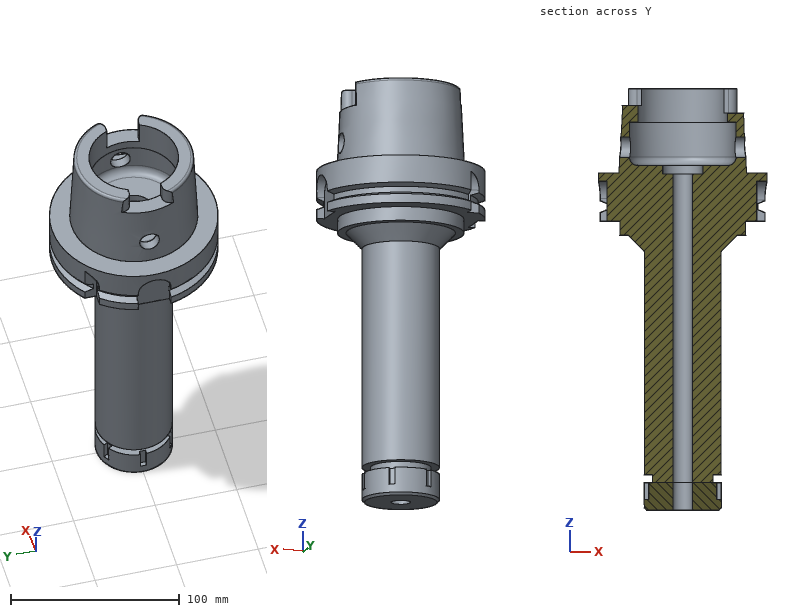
import cadquery as cq
import math

total_height = 250.0
flange_top = 200.0
flange_bottom = 171.2
collar_bottom = 163.0
cone_bottom = 153.5
shank_bottom = 21.0
nut_height = 16.5

flange_radius = 50.0
collar_radius = 37.5
cone_top_radius = 32.5
shank_radius = 23.0
neck_radius = 18.0

taper_length = total_height - flange_top
taper_base_radius = 38.0
taper_on_diameter = 0.1
taper_top_radius = taper_base_radius - taper_length * taper_on_diameter / 2
taper_rim_rounding = 1.8

groove_root_radius = 46.0
groove_middle = 180.0
groove_mouth_half = 3.5
groove_root_half = 1.8

mouth_bore_radius = 26.5
mouth_bore_length = 20.0
inner_bore_radius = 31.5
bore_floor = 204.5
bore_floor_fillet = 5.0
counterbore_radius = 11.8
counterbore_depth = 5.0
coolant_hole_radius = 5.8

cross_hole_radius = 6.0
cross_hole_height = 215.2

rim_slot_width = 20.0
shallow_slot_depth = 10.0
deep_slot_depth = 14.5
rim_slot_rounding = 5.0
rim_slot_mouth = 32.2

narrow_notch_width = 20.0
wide_notch_width = 22.0
notch_top = flange_top - 5.0
narrow_notch_floor = 45.0
wide_notch_floor = 44.0
side_notch_floor = 32.0
side_notch_offset = 41.2

nut_radius = shank_radius
nut_chamfer = 1.5
wrench_slot_count = 6
wrench_slot_width = 3.8
wrench_slot_length = 10.0
wrench_slot_floor = 20.2


def cylinder(radius, bottom, top):
    return cq.Workplane("XY").workplane(offset=bottom).circle(radius).extrude(top - bottom)


def turned_blank():
    """Solid of revolution with the taper, flange, collar, cone, shank and neck."""
    return (
        cq.Workplane("YZ")
        .moveTo(0, nut_height)
        .lineTo(neck_radius, nut_height)
        .lineTo(neck_radius, shank_bottom)
        .lineTo(shank_radius, shank_bottom)
        .lineTo(shank_radius, cone_bottom)
        .lineTo(cone_top_radius, collar_bottom)
        .lineTo(collar_radius, collar_bottom)
        .lineTo(collar_radius, flange_bottom)
        .lineTo(flange_radius, flange_bottom)
        .lineTo(flange_radius, groove_middle - groove_mouth_half)
        .lineTo(groove_root_radius, groove_middle - groove_root_half)
        .lineTo(groove_root_radius, groove_middle + groove_root_half)
        .lineTo(flange_radius, groove_middle + groove_mouth_half)
        .lineTo(flange_radius, flange_top)
        .lineTo(taper_base_radius, flange_top)
        .lineTo(taper_top_radius, total_height)
        .lineTo(0, total_height)
        .close()
        .revolve(360, (0, 0, 0), (0, 1, 0))
        .faces(">Z")
        .edges()
        .fillet(taper_rim_rounding)
    )


def holder_bores():
    mouth_bottom = total_height - mouth_bore_length
    mouth = cylinder(mouth_bore_radius, mouth_bottom, total_height)
    chamber = cylinder(inner_bore_radius, bore_floor, mouth_bottom)
    chamber = chamber.faces("<Z").edges().fillet(bore_floor_fillet)
    counterbore = cylinder(counterbore_radius, bore_floor - counterbore_depth, bore_floor)
    coolant_hole = cylinder(coolant_hole_radius, nut_height, bore_floor)
    return mouth.union(chamber).union(counterbore).union(coolant_hole)


def cross_hole():
    return (
        cq.Workplane("YZ")
        .center(0, cross_hole_height)
        .circle(cross_hole_radius)
        .extrude(flange_radius, both=True)
    )


def rim_slot(side, depth):
    """Slot through the rim on the +X (side=1) or -X (side=-1) wall, flared by rounded corners."""
    half_width = rim_slot_width / 2
    arc_middle_x = rim_slot_mouth - rim_slot_rounding
    arc_middle_y = half_width + rim_slot_rounding
    half_chord = rim_slot_rounding * math.sqrt(0.5)
    outside = flange_radius
    upper_half = (
        cq.Workplane("XY")
        .workplane(offset=total_height - depth)
        .moveTo(0, 0)
        .lineTo(0, half_width)
        .lineTo(arc_middle_x, half_width)
        .threePointArc(
            (arc_middle_x + half_chord, arc_middle_y - half_chord),
            (rim_slot_mouth, arc_middle_y),
        )
        .lineTo(rim_slot_mouth, outside)
        .lineTo(outside, outside)
        .lineTo(outside, 0)
        .close()
        .extrude(depth)
    )
    slot = upper_half.union(upper_half.mirror("XZ"))
    return slot if side > 0 else slot.mirror("YZ")


def flange_notch(side, width, floor, middle_y):
    """Round-topped notch open at the flange's underside, with a flat floor facing +X or -X."""
    half_width = width / 2
    spring_line = notch_top - half_width
    depth = flange_radius - floor
    return (
        cq.Workplane("YZ")
        .workplane(offset=side * floor)
        .moveTo(middle_y - half_width, flange_bottom)
        .lineTo(middle_y - half_width, spring_line)
        .threePointArc((middle_y, notch_top), (middle_y + half_width, spring_line))
        .lineTo(middle_y + half_width, flange_bottom)
        .close()
        .extrude(side * depth)
    )


def make_holder():
    return (
        turned_blank()
        .cut(holder_bores())
        .cut(cross_hole())
        .cut(rim_slot(-1, shallow_slot_depth))
        .cut(rim_slot(1, deep_slot_depth))
        .cut(flange_notch(-1, narrow_notch_width, narrow_notch_floor, 0))
        .cut(flange_notch(1, wide_notch_width, wide_notch_floor, 0))
        .cut(flange_notch(-1, narrow_notch_width, side_notch_floor, side_notch_offset))
    )


def make_nut():
    nut = cylinder(nut_radius, 0, nut_height).faces("<Z").edges().chamfer(nut_chamfer)
    nut = nut.cut(cylinder(coolant_hole_radius, 0, nut_height))
    slot_depth = nut_radius - wrench_slot_floor
    slot = (
        cq.Workplane("XY")
        .box(slot_depth, wrench_slot_width, wrench_slot_length, centered=(False, True, False))
        .translate((wrench_slot_floor, 0, nut_height - wrench_slot_length))
    )
    for index in range(wrench_slot_count):
        angle = index * 360 / wrench_slot_count
        nut = nut.cut(slot.rotate((0, 0, 0), (0, 0, 1), angle))
    return nut


holder = make_holder()
nut = make_nut()

result = cq.Compound.makeCompound([holder.val(), nut.val()])